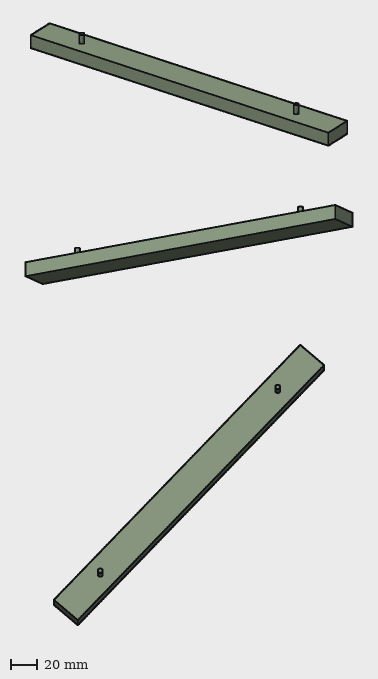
import cadquery as cq

bar_length = 278.0
bar_width = 24.5
bar_height = 11.0

overall_height = 19.0
pin_diameter = 4.0
pin_spacing = 200.2
pin_chamfer = 0.3
pin_length = overall_height - bar_height


def make_pin(x):
    """Round pin on the bar's top face, with a chamfered tip."""
    pin = cq.Workplane("XY", origin=(x, 0, bar_height)).circle(pin_diameter / 2).extrude(pin_length)
    return pin.faces(">Z").chamfer(pin_chamfer)


bar = cq.Workplane("XY").box(bar_length, bar_width, bar_height, centered=(True, True, False))

result = bar
for side in (-1, 1):
    result = result.union(make_pin(side * pin_spacing / 2))